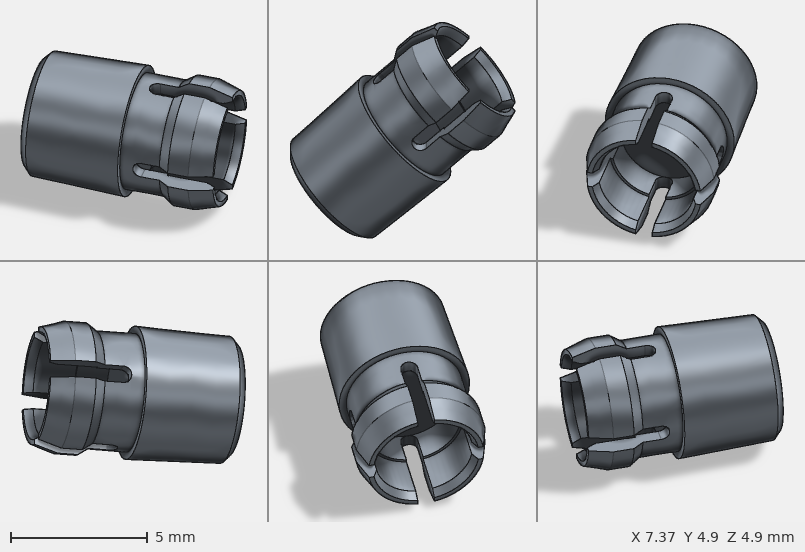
import cadquery as cq

length = 7.37
face_chamfer_end = 0.265
head_end = 3.82
slot_floor = 4.32
neck_end = 5.32
bore_step = 5.52
collar_start = 5.72
collar_end = 6.5
mouth_flare_start = 7.045

head_diameter = 4.9
face_radius = 2.055
head_start_radius = 2.335
head_end_radius = head_diameter / 2
neck_start_radius = 2.18
neck_end_radius = 2.175
collar_radius = 2.44
mouth_radius = 2.17

bore_floor = slot_floor
bore_radius = 1.71
mouth_bore_radius = 1.81
mouth_flare_radius = 1.98

slot_width = 0.63


def revolve_about_x(outline):
    """Turn a closed (x, radius) outline about the X axis."""
    return cq.Workplane("XZ").polyline(outline).close().revolve(360, (0, 0), (1, 0))


def turned_body():
    """Tapered head, neck, and snap collar with a lead-in taper at the mouth."""
    return revolve_about_x([
        (0, 0),
        (0, face_radius),
        (face_chamfer_end, head_start_radius),
        (head_end, head_end_radius),
        (head_end, neck_start_radius),
        (neck_end, neck_end_radius),
        (collar_start, collar_radius),
        (collar_end, collar_radius),
        (length, mouth_radius),
        (length, 0),
    ])


def bore():
    """Blind bore that steps wider behind the collar and flares at the mouth."""
    return revolve_about_x([
        (bore_floor, 0),
        (bore_floor, bore_radius),
        (bore_step, bore_radius),
        (bore_step, mouth_bore_radius),
        (mouth_flare_start, mouth_bore_radius),
        (length, mouth_flare_radius),
        (length, 0),
    ])


def slot(plane):
    """Slot through the whole diameter, open at the mouth, with a round floor."""
    half_width = slot_width / 2
    round_center = slot_floor + half_width
    return (
        cq.Workplane(plane)
        .moveTo(length, half_width)
        .lineTo(round_center, half_width)
        .threePointArc((slot_floor, 0), (round_center, -half_width))
        .lineTo(length, -half_width)
        .close()
        .extrude(head_end_radius, both=True)
    )


result = turned_body().cut(bore())
for slot_plane in ("XY", "XZ"):
    result = result.cut(slot(slot_plane))